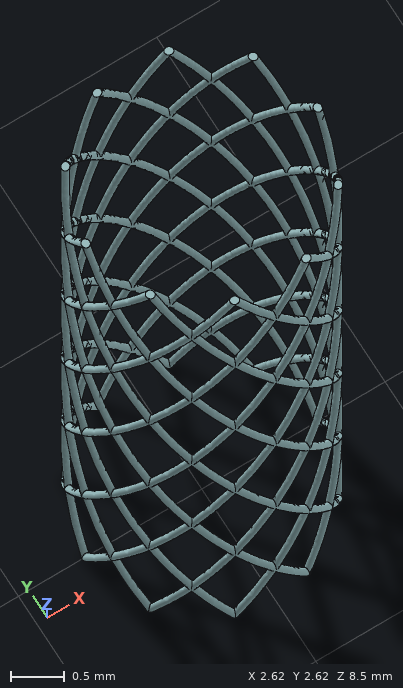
import cadquery as cq
import math

length = 8.5
outer_diameter = 2.62
wire_diameter = 0.085
crown_count = 10
row_count = 10

node_radius = (outer_diameter - wire_diameter) / 2
row_height = length / row_count
steps_per_turn = 2 * crown_count
step_angle = 360.0 / steps_per_turn
overrun_steps = 0.25

origin = cq.Vector(0, 0, 0)
tube_axis = cq.Vector(0, 0, 1)


def sector():
    """Wedge of one row between the radial planes through neighbouring nodes."""
    reach = outer_diameter
    turn = math.radians(step_angle)
    far_corner = (reach * math.cos(turn), reach * math.sin(turn))
    return cq.Workplane("XY").polyline([(0, 0), (reach, 0), far_corner]).close().extrude(row_height).val()


def rising_strut():
    """Wire climbing one row, cut flush at both nodes so that neighbours meet face to face."""
    pitch = steps_per_turn * row_height
    path = cq.Wire.makeHelix(pitch, (1 + 2 * overrun_steps) * row_height, node_radius)
    tangent = cq.Vector(0, 2 * math.pi * node_radius, pitch)
    section = cq.Plane(origin=(node_radius, 0, 0), xDir=(1, 0, 0), normal=tangent)
    wire = cq.Workplane(section).circle(wire_diameter / 2).sweep(path).val()
    wire = wire.rotate(origin, tube_axis, -overrun_steps * step_angle)
    wire = wire.translate(tube_axis * (-overrun_steps * row_height))
    return wire.intersect(sector()).Solids()[0]


def lattice():
    """Struts that rise and fall alternately around each row, and swap from row to row."""
    rising = rising_strut()
    falling = rising.mirror("XY").translate(tube_axis * row_height)
    struts = []
    for row in range(row_count):
        for step in range(steps_per_turn):
            strut = rising if (row + step) % 2 == 0 else falling
            turned = strut.rotate(origin, tube_axis, step * step_angle)
            struts.append(turned.translate(tube_axis * (row * row_height - length / 2)))
    return struts[0].fuse(*struts[1:], glue=True)


result = cq.Workplane("XY").newObject(lattice().Solids())